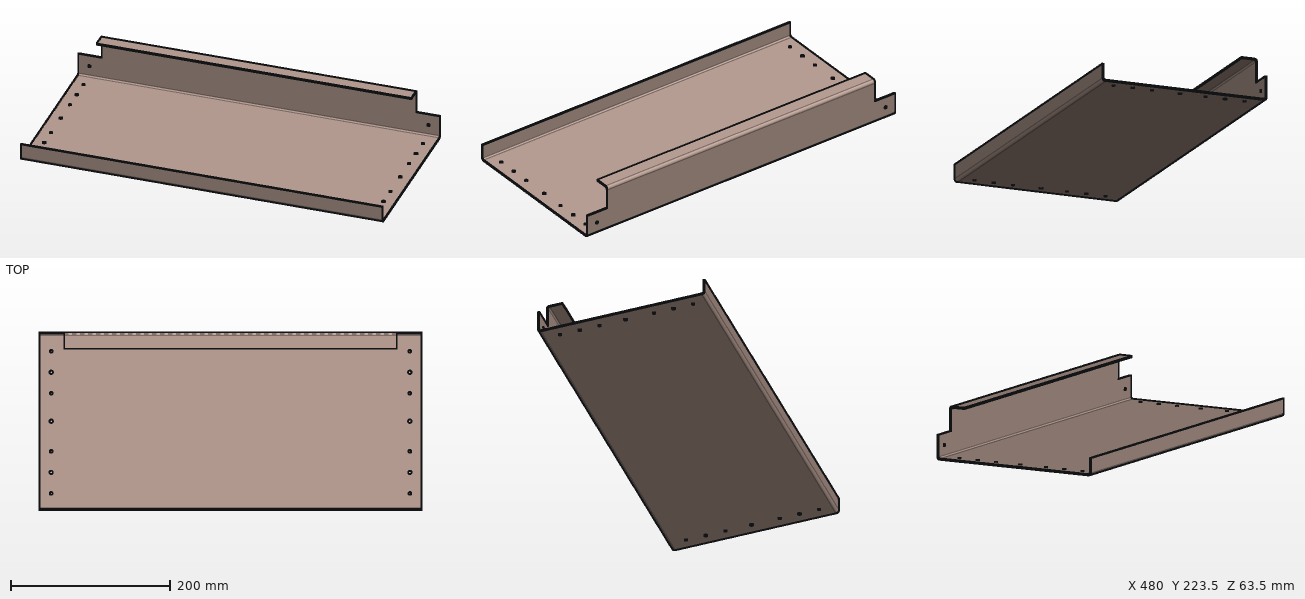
import cadquery as cq

length = 480.0
width = 223.5
height = 63.5
sheet = 2.0
bend_radius = 2 * sheet
inner_radius = bend_radius - sheet

front_lip_height = 22.5
top_flange_depth = 21.0

notch_length = 31.0
shoulder_height = 31.5

hole_inset = 15.0
small_diameter = 3.2
large_diameter = 4.0
base_pitch = 26.5
rear_group_start = 24.0
front_group_start = 150.0
wall_hole_height = 16.5

rear_face = width / 2
hole_columns = (-length / 2 + hole_inset, length / 2 - hole_inset)


def extruded_rectangle(y_min, y_max, z_min, z_max):
    """Full-length bar spanning the given Y and Z limits."""
    bar = cq.Workplane("XY").box(length, y_max - y_min, z_max - z_min, centered=(True, False, False))
    return bar.translate((0, y_min, z_min))


def folded_sheet():
    """Base with a low front lip and a tall rear wall topped by an inward flange."""
    outer = extruded_rectangle(-rear_face, rear_face, 0, height)
    outer = outer.edges("|X").fillet(bend_radius)
    inner = extruded_rectangle(-rear_face + sheet, rear_face - sheet, sheet, height - sheet)
    inner = inner.edges("|X").fillet(inner_radius)
    opening = extruded_rectangle(-rear_face, rear_face - top_flange_depth, front_lip_height, height)
    return outer.cut(inner).cut(opening)


def end_notches():
    """Blocks removing the flange and upper rear wall at each end."""
    notch = cq.Workplane("XY").box(notch_length, top_flange_depth, height - shoulder_height, centered=False)
    notch = notch.translate((-length / 2, rear_face - top_flange_depth, shoulder_height))
    return notch.union(notch.mirror("YZ"))


def base_holes(diameter, rear_distances):
    """Vertical cutters through the base at both ends."""
    centers = [(x, rear_face - distance) for x in hole_columns for distance in rear_distances]
    return cq.Workplane("XY").pushPoints(centers).circle(diameter / 2).extrude(sheet)


def wall_holes():
    """Cutters through the rear wall at both ends."""
    centers = [(x, wall_hole_height) for x in hole_columns]
    plane = cq.Workplane("XZ", origin=(0, rear_face, 0))
    return plane.pushPoints(centers).circle(small_diameter / 2).extrude(sheet)


small_rows = (
    rear_group_start,
    rear_group_start + 2 * base_pitch,
    front_group_start,
    front_group_start + 2 * base_pitch,
)
large_rows = (
    rear_group_start + base_pitch,
    width / 2,
    front_group_start + base_pitch,
)

result = (
    folded_sheet()
    .cut(end_notches())
    .cut(base_holes(small_diameter, small_rows))
    .cut(base_holes(large_diameter, large_rows))
    .cut(wall_holes())
)